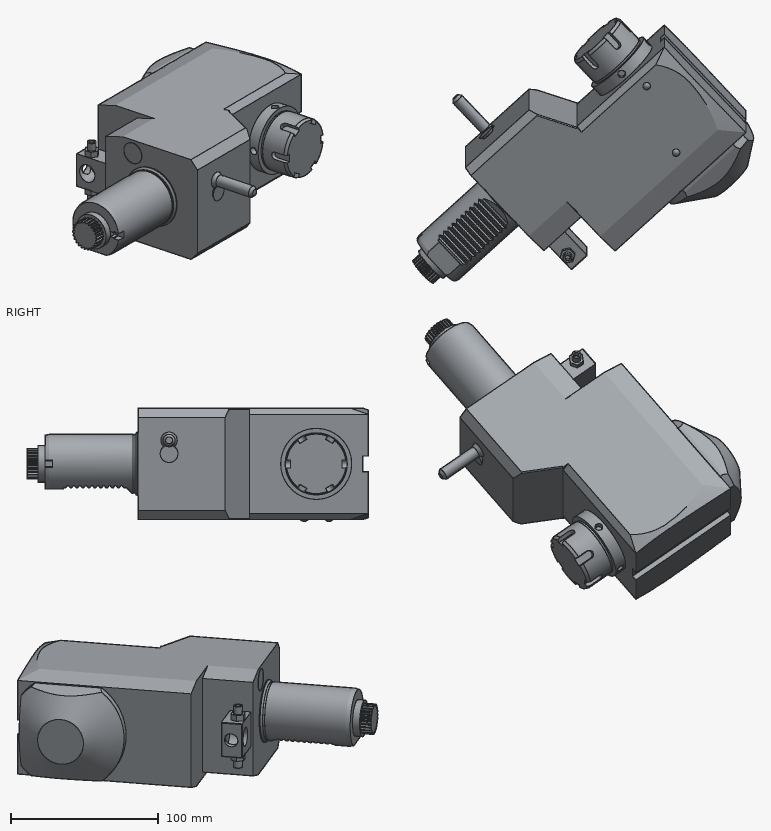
import cadquery as cq
import math


BODY_HALF_HEIGHT = 37.7
BODY_BACK = 156.0
BODY_LEFT = -72.3
STEP_LEFT = -39.3
STEP_Y = 35.0
BODY_RIGHT = 38.8
HEAD_RIGHT = 8.8
SHOULDER_HEAD_Y = 75.3
SHOULDER_BODY_Y = 59.0
SHOULDER_CHAMFER = 0.8
LEFT_BEVEL_WIDTH = 14.8
LEFT_BEVEL_DROP = 4.2
HEAD_BEVEL_WIDTH = 4.5
RIGHT_BEVEL_WIDTH = 5.5
RIGHT_BEVEL_DROP = 6.2
BACK_BEVEL_LENGTH = 12.0
BACK_CREST_X = -19.6
BACK_CREST_RISE = 8.5
BACK_SLOT_HEIGHT = 10.5
BACK_SLOT_DEPTH = 3.7
PLUG_X = -16.2
PLUG_Z = 27.7
PLUG_RADIUS = 7.6
PLUG_RECESS = 0.2

SPINDLE_Y = 120.5
CAP_LEFT = -95.2
CAP_RIM_LEFT = -78.3
CAP_FACE_RADIUS = 16.0
CAP_RADIUS = 40.2
CAP_BACK = 152.0
CAP_FLAT_END = -75.0
FLANGE_RADIUS = 24.0
FLANGE_END = 17.0
NECK_RADIUS = 20.8
NUT_START = 18.5
NUT_RADIUS = 21.0
NUT_END = 38.8
NUT_FACE_RADIUS = 20.0
NUT_CHAMFER = 2.3
NUT_SLOTS = 6
NUT_SLOT_START = 26.3
NUT_SLOT_WIDTH = 5.5
NUT_SLOT_DEPTH = 3.5
FLANGE_HOLES = 4
FLANGE_HOLE_X = 13.2
FLANGE_HOLE_RADIUS = 2.5
FLANGE_HOLE_DEPTH = 4.6

SHANK_RADIUS = 20.0
SHANK_LENGTH = 62.8
SHANK_END_CHAMFER_LENGTH = 2.8
SHANK_END_CHAMFER_DEPTH = 0.7
COLLAR_RADIUS = 21.5
COLLAR_RIM = 0.7
COLLAR_LENGTH = 2.0
GROOVE_DEPTH = 0.2
GROOVE_END = 3.5
SHANK_NECK_RADIUS = 12.5
SHANK_NECK_END = 67.7
SPLINE_END = 75.0
SPLINE_RADIUS = 10.5
SPLINE_ROOT_RADIUS = 9.2
SPLINE_TEETH = 24
SPLINE_ROOT_SHARE = 0.8
SPLINE_TIP_SHARE = 0.3
END_FLAT_Z = -17.0
RACK_Z = -16.2
RACK_START = 7.9
RACK_END = 50.4
RACK_FIRST_GROOVE = 11.0
RACK_LAST_GROOVE = 47.4
RACK_GROOVES = 10
RACK_PITCH = (RACK_LAST_GROOVE - RACK_FIRST_GROOVE) / (RACK_GROOVES - 1)
RACK_GROOVE_DEPTH = 1.5
RACK_GROOVE_WIDTH = 3.2
RACK_ROOT_WIDTH = 0.7
KEY_WIDTH = 5.0
KEY_DEPTH = 5.0
KEY_INNER_RADIUS = 15.2
KEY_STEP_WIDTH = 3.7

PIN_Y = 21.0
PIN_Z = 16.0
PIN_DIAMETER = 8.0
PIN_RADIUS = PIN_DIAMETER / 2
PIN_END = 71.4
PIN_TIP_LENGTH = 2.0
PIN_TIP_RADIUS = 2.3
PIN_BASE_RADIUS = 5.5
PIN_BASE_LENGTH = 2.8
SCREW_Z = 7.0
SCREW_INNER_RADIUS = 4.5
SCREW_RADIUS = 6.0
SCREW_HEIGHT = 2.0

BLOCK_LEFT = -65.4
BLOCK_FRONT = 1.5
BLOCK_BACK = 16.0
BLOCK_HALF_HEIGHT = 12.2
BLOCK_CHAMFER = 0.5
PORT_X = -56.0
FRONT_PORT_RADIUS = 6.5
FRONT_PORT_DEPTH = 12.5
SIDE_PORT_RADIUS = 4.6
SIDE_PORT_Y = 9.0
SIDE_DRILL_RADIUS = 1.0
SIDE_DRILL_DEPTH = 13.9
FITTING_Y = 6.5
FITTING_HEX_DIAMETER = 10.2
FITTING_HEX_HEIGHT = 4.2
FITTING_TUBE_RADIUS = 3.0
FITTING_BORE_RADIUS = 1.8
FITTING_BORE_DEPTH = 4.6
FITTING_TOP = 22.0

NOZZLES = [(-49.7, 112.5), (-2.3, 129.4)]
NOZZLE_RADIUS = 2.5
NOZZLE_HEIGHT = 1.5

OVERLAP = 2.3
CLEAR = 11.5


def box(x_min, x_max, y_min, y_max, z_min, z_max):
    """Box given by its limits along each axis."""
    size = (x_max - x_min, y_max - y_min, z_max - z_min)
    return cq.Workplane().box(*size, centered=False).translate((x_min, y_min, z_min))


def turned_x(profile, y, z):
    """Solid of revolution about an axis along X, from (x, radius) points."""
    turned = cq.Workplane().polyline(profile).close()
    return turned.revolve(360, (0, 0, 0), (1, 0, 0)).translate((0, y, z))


def prism_y(profile, y_min, y_max):
    """Prism along Y from (x, z) points."""
    prism = cq.Workplane("XZ").polyline(profile).close().extrude(y_min - y_max)
    return prism.translate((0, y_min, 0))


def above_and_below(cutter):
    return cutter.union(cutter.mirror("XY"))


def edge_bevel(x, width, drop, y_min, y_max):
    """Wedges that bevel the upper and lower edge at x; width is signed inward."""
    top = BODY_HALF_HEIGHT
    wedge = prism_y([(x, top - drop), (x, top), (x + width, top)], y_min, y_max)
    return above_and_below(wedge)


def back_bevel():
    """Ruled cutters that slope the upper and lower back edges along two arcs that meet at the crest."""
    crest_inner = BODY_BACK - BACK_BEVEL_LENGTH + BACK_CREST_RISE
    crest_outer = BODY_BACK + BACK_CREST_RISE
    outside = BODY_BACK + 2 * CLEAR
    low_z = BODY_HALF_HEIGHT - LEFT_BEVEL_DROP

    def section(z, inset_left, inset_right, y, crest_y):
        left = BODY_LEFT + inset_left
        right = HEAD_RIGHT - inset_right
        crest = cq.Vector(BACK_CREST_X, crest_y, z)
        left_end = cq.Vector(left, y, z)
        right_end = cq.Vector(right, y, z)
        left_arc = cq.Edge.makeTangentArc(crest, cq.Vector(-1, 0, 0), left_end)
        right_arc = cq.Edge.makeTangentArc(crest, cq.Vector(1, 0, 0), right_end)
        sides = cq.Wire.makePolygon(
            [right_end, cq.Vector(right, outside, z), cq.Vector(left, outside, z), left_end]
        )
        return cq.Wire.assembleEdges([right_arc, *sides.Edges(), left_arc])

    low = section(low_z, 0, 0, BODY_BACK, crest_outer)
    high = section(
        BODY_HALF_HEIGHT, LEFT_BEVEL_WIDTH, HEAD_BEVEL_WIDTH, BODY_BACK - BACK_BEVEL_LENGTH, crest_inner
    )
    return above_and_below(cq.Workplane(cq.Solid.makeLoft([low, high], True)))


def housing():
    outline = [
        (STEP_LEFT, 0),
        (BODY_RIGHT, 0),
        (BODY_RIGHT, SHOULDER_BODY_Y),
        (HEAD_RIGHT, SHOULDER_HEAD_Y),
        (HEAD_RIGHT, BODY_BACK),
        (BODY_LEFT, BODY_BACK),
        (BODY_LEFT, STEP_Y),
        (STEP_LEFT, STEP_Y),
    ]
    body = cq.Workplane().polyline(outline).close().extrude(BODY_HALF_HEIGHT, both=True)
    shoulder = cq.Vector(HEAD_RIGHT - BODY_RIGHT, SHOULDER_HEAD_Y - SHOULDER_BODY_Y, 0)
    body = body.edges(cq.selectors.ParallelDirSelector(shoulder)).chamfer(SHOULDER_CHAMFER)

    body = body.cut(back_bevel())
    body = body.cut(edge_bevel(BODY_LEFT, LEFT_BEVEL_WIDTH, LEFT_BEVEL_DROP, STEP_Y, BODY_BACK))
    body = body.cut(edge_bevel(STEP_LEFT, LEFT_BEVEL_WIDTH, LEFT_BEVEL_DROP, 0, STEP_Y))
    body = body.cut(edge_bevel(HEAD_RIGHT, -HEAD_BEVEL_WIDTH, LEFT_BEVEL_DROP, SHOULDER_HEAD_Y, BODY_BACK))
    body = body.cut(edge_bevel(BODY_RIGHT, -RIGHT_BEVEL_WIDTH, RIGHT_BEVEL_DROP, 0, SHOULDER_HEAD_Y))

    half_slot = BACK_SLOT_HEIGHT / 2
    slot_floor = BODY_BACK - BACK_SLOT_DEPTH
    body = body.cut(box(BODY_LEFT, HEAD_RIGHT, slot_floor, BODY_BACK, -half_slot, half_slot))
    plug = cq.Workplane("XZ").center(PLUG_X, PLUG_Z).circle(PLUG_RADIUS).extrude(-PLUG_RECESS)
    return body.cut(plug)


def end_cap():
    """Conical cap, flat at the back and trimmed along the planes of the left bevels."""
    profile = [
        (CAP_LEFT, 0),
        (CAP_LEFT, CAP_FACE_RADIUS),
        (CAP_RIM_LEFT, CAP_RADIUS),
        (BODY_LEFT + OVERLAP, CAP_RADIUS),
        (BODY_LEFT + OVERLAP, 0),
    ]
    bevel_slope = LEFT_BEVEL_DROP / LEFT_BEVEL_WIDTH
    edge_z = BODY_HALF_HEIGHT - LEFT_BEVEL_DROP
    flat_z = edge_z - bevel_slope * (BODY_LEFT - CAP_FLAT_END)
    tip_z = edge_z - bevel_slope * (BODY_LEFT - CAP_LEFT)
    upper = [(CAP_LEFT, tip_z), (CAP_FLAT_END, flat_z), (BODY_LEFT + OVERLAP, flat_z)]
    lower = [(x, -z) for x, z in reversed(upper)]
    envelope = prism_y(upper + lower, SPINDLE_Y - CAP_RADIUS - CLEAR, CAP_BACK)
    return turned_x(profile, SPINDLE_Y, 0).intersect(envelope)


def collet_nut():
    profile = [
        (HEAD_RIGHT - OVERLAP, 0),
        (HEAD_RIGHT - OVERLAP, FLANGE_RADIUS),
        (FLANGE_END, FLANGE_RADIUS),
        (FLANGE_END, NECK_RADIUS),
        (NUT_START, NECK_RADIUS),
        (NUT_START, NUT_RADIUS),
        (NUT_END - NUT_CHAMFER, NUT_RADIUS),
        (NUT_END, NUT_FACE_RADIUS),
        (NUT_END, 0),
    ]
    nut = turned_x(profile, 0, 0)

    round_radius = NUT_SLOT_WIDTH / 2
    round_x = NUT_SLOT_START + round_radius
    slot_floor = NUT_RADIUS - NUT_SLOT_DEPTH
    slot = box(round_x, NUT_END + CLEAR, -round_radius, round_radius, slot_floor, NUT_RADIUS + CLEAR)
    slot_end = cq.Workplane("XY", origin=(round_x, 0, slot_floor)).circle(round_radius)
    slot = slot.union(slot_end.extrude(NUT_SLOT_DEPTH + CLEAR))
    slot_step = 360 / NUT_SLOTS
    for i in range(NUT_SLOTS):
        nut = nut.cut(slot.rotate((0, 0, 0), (1, 0, 0), (i + 0.5) * slot_step))

    hole_floor = FLANGE_RADIUS - FLANGE_HOLE_DEPTH
    hole = cq.Workplane("XY", origin=(FLANGE_HOLE_X, 0, hole_floor)).circle(FLANGE_HOLE_RADIUS)
    hole = hole.extrude(FLANGE_HOLE_DEPTH + CLEAR)
    for i in range(FLANGE_HOLES):
        nut = nut.cut(hole.rotate((0, 0, 0), (1, 0, 0), i * 360 / FLANGE_HOLES))
    return nut.translate((0, SPINDLE_Y, 0))


def rack_cutter():
    """Flats on the underside of the shank, with the toothed rack, as one cutter along X."""
    floor = -SHANK_RADIUS
    ramp_run = RACK_Z - floor
    pocket = [
        (-RACK_START, RACK_Z),
        (-RACK_START + ramp_run, floor),
        (-SHANK_LENGTH, floor),
        (-SHANK_LENGTH, END_FLAT_Z),
        (-RACK_END, END_FLAT_Z),
        (-RACK_END, RACK_Z),
    ]
    cutter = cq.Workplane("YZ").polyline(pocket).close().extrude(COLLAR_RADIUS, both=True)
    for i in range(RACK_GROOVES):
        y = -RACK_FIRST_GROOVE - i * RACK_PITCH
        groove = [
            (y - RACK_GROOVE_WIDTH / 2, RACK_Z),
            (y - RACK_ROOT_WIDTH / 2, RACK_Z + RACK_GROOVE_DEPTH),
            (y + RACK_ROOT_WIDTH / 2, RACK_Z + RACK_GROOVE_DEPTH),
            (y + RACK_GROOVE_WIDTH / 2, RACK_Z),
        ]
        cutter = cutter.union(cq.Workplane("YZ").polyline(groove).close().extrude(COLLAR_RADIUS, both=True))
    return cutter


def splined_end():
    """Toothed stub shaft at the end of the shank."""
    points = []
    tooth_angle = 2 * math.pi / SPLINE_TEETH
    corners = [
        (-SPLINE_ROOT_SHARE / 2, SPLINE_ROOT_RADIUS),
        (-SPLINE_TIP_SHARE / 2, SPLINE_RADIUS),
        (SPLINE_TIP_SHARE / 2, SPLINE_RADIUS),
        (SPLINE_ROOT_SHARE / 2, SPLINE_ROOT_RADIUS),
    ]
    for i in range(SPLINE_TEETH):
        for offset, radius in corners:
            angle = (i + offset) * tooth_angle
            points.append((radius * math.cos(angle), radius * math.sin(angle)))
    return prism_y(points, -SPLINE_END, -SHANK_NECK_END + OVERLAP)


def shank():
    profile = [
        (0, OVERLAP),
        (COLLAR_RADIUS, OVERLAP),
        (COLLAR_RADIUS, -COLLAR_RIM),
        (SHANK_RADIUS, -COLLAR_LENGTH),
        (SHANK_RADIUS - GROOVE_DEPTH, -COLLAR_LENGTH),
        (SHANK_RADIUS - GROOVE_DEPTH, -GROOVE_END),
        (SHANK_RADIUS, -GROOVE_END),
        (SHANK_RADIUS, -SHANK_LENGTH + SHANK_END_CHAMFER_LENGTH),
        (SHANK_RADIUS - SHANK_END_CHAMFER_DEPTH, -SHANK_LENGTH),
        (SHANK_NECK_RADIUS, -SHANK_LENGTH),
        (SHANK_NECK_RADIUS, -SHANK_NECK_END),
        (0, -SHANK_NECK_END),
    ]
    body = cq.Workplane().polyline(profile).close().revolve(360, (0, 0, 0), (0, 1, 0))
    body = body.cut(rack_cutter())

    end = -SHANK_LENGTH
    slot_floor = end + KEY_DEPTH
    for inner, outer, width in (
        (KEY_INNER_RADIUS, SHANK_RADIUS, KEY_WIDTH),
        (SHANK_NECK_RADIUS, KEY_INNER_RADIUS, KEY_STEP_WIDTH),
    ):
        body = body.cut(box(inner, outer, end, slot_floor, -width / 2, width / 2))
    return body.union(splined_end())


def locating_pin():
    base = BODY_RIGHT - OVERLAP
    profile = [
        (base, 0),
        (base, PIN_BASE_RADIUS),
        (BODY_RIGHT, PIN_BASE_RADIUS),
        (BODY_RIGHT + PIN_BASE_LENGTH, PIN_RADIUS),
        (PIN_END - PIN_TIP_LENGTH, PIN_RADIUS),
        (PIN_END, PIN_TIP_RADIUS),
        (PIN_END, 0),
    ]
    return turned_x(profile, PIN_Y, PIN_Z)


def screw_head():
    base = BODY_RIGHT - OVERLAP
    profile = [
        (base, 0),
        (base, SCREW_INNER_RADIUS),
        (BODY_RIGHT, SCREW_INNER_RADIUS),
        (BODY_RIGHT + SCREW_HEIGHT, SCREW_RADIUS),
        (BODY_RIGHT + SCREW_HEIGHT, 0),
    ]
    return turned_x(profile, PIN_Y, SCREW_Z)


def fitting():
    """Hexagon and hollow tube standing on the top of the coolant block."""
    base = cq.Workplane("XY", origin=(PORT_X, FITTING_Y, BLOCK_HALF_HEIGHT))
    tube = base.circle(FITTING_TUBE_RADIUS).extrude(FITTING_TOP - BLOCK_HALF_HEIGHT)
    body = base.polygon(6, FITTING_HEX_DIAMETER).extrude(FITTING_HEX_HEIGHT).union(tube)
    bore = cq.Workplane("XY", origin=(PORT_X, FITTING_Y, FITTING_TOP)).circle(FITTING_BORE_RADIUS)
    return body.cut(bore.extrude(-FITTING_BORE_DEPTH))


def coolant_block():
    block = box(
        BLOCK_LEFT, STEP_LEFT + OVERLAP, BLOCK_FRONT, BLOCK_BACK, -BLOCK_HALF_HEIGHT, BLOCK_HALF_HEIGHT
    )
    block = block.faces("<X").edges().chamfer(BLOCK_CHAMFER)
    front_port = cq.Workplane("XZ", origin=(PORT_X, BLOCK_FRONT, 0)).circle(FRONT_PORT_RADIUS)
    side_face = cq.Workplane("YZ", origin=(BLOCK_LEFT, SIDE_PORT_Y, 0))
    side_port = side_face.circle(SIDE_PORT_RADIUS).extrude(PORT_X - BLOCK_LEFT)
    side_drill_length = PORT_X - BLOCK_LEFT + SIDE_DRILL_DEPTH
    side_drill = side_face.circle(SIDE_DRILL_RADIUS).extrude(side_drill_length)
    block = block.cut(front_port.extrude(-FRONT_PORT_DEPTH)).cut(side_port).cut(side_drill)
    return block.union(above_and_below(fitting()))


def nozzle(x, y):
    """Spherical cap under the housing."""
    sphere_radius = (NOZZLE_RADIUS**2 + NOZZLE_HEIGHT**2) / (2 * NOZZLE_HEIGHT)
    center_z = -BODY_HALF_HEIGHT - NOZZLE_HEIGHT + sphere_radius
    return cq.Workplane().sphere(sphere_radius).translate((x, y, center_z))


result = housing()
for piece in (end_cap(), collet_nut(), shank(), locating_pin(), screw_head(), coolant_block()):
    result = result.union(piece)
for nozzle_x, nozzle_y in NOZZLES:
    result = result.union(nozzle(nozzle_x, nozzle_y))